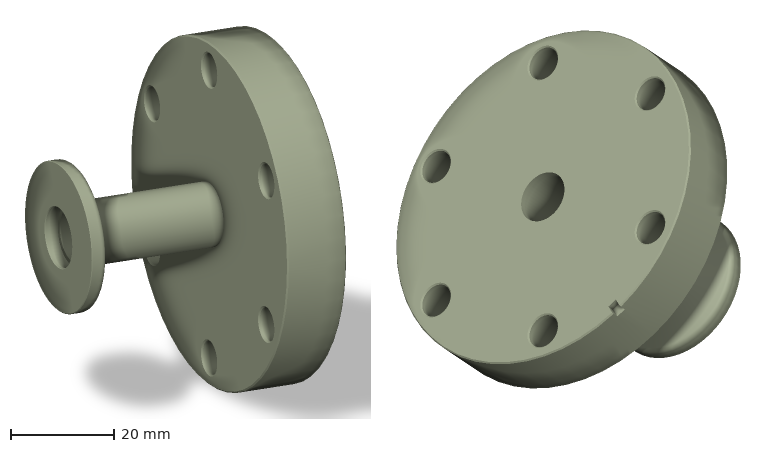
import cadquery as cq
import math

flange_diameter = 70.0
flange_thickness = 12.7
flange_edge_chamfer = 0.3
bolt_count = 6
bolt_circle_radius = 29.4
bolt_hole_diameter = 6.7
bolt_hole_chamfer = 0.3

groove_angle = 240.0
groove_width = 2.0
groove_depth = 1.55
groove_length = 2.1

total_length = 45.0
tube_diameter = 12.9
bore_diameter = 10.3
counterbore_diameter = 12.1
counterbore_depth = 2.8
counterbore_chamfer = 0.15
rim_diameter = 30.0
rim_edge_radius = 1.05
rim_front_chamfer = 0.15
rim_height = 5.25
cone_angle = 15.0

tube_radius = tube_diameter / 2
rim_radius = rim_diameter / 2
rim_front = flange_thickness - total_length
rim_back = rim_front + rim_height
cone_run = (rim_radius - tube_radius) * math.tan(math.radians(cone_angle))


def cylinder_along_y(diameter, y_start, y_end):
    """Cylinder centred on the Y axis between two Y positions."""
    circle = cq.Workplane("XZ", origin=(0, y_start, 0)).circle(diameter / 2)
    return circle.extrude(y_start - y_end)


def make_bolt_hole():
    """Cutter for one bolt hole on the Y axis, countersunk at both flange faces."""
    hole_radius = bolt_hole_diameter / 2
    mouth_radius = hole_radius + bolt_hole_chamfer
    profile = [
        (0, 0),
        (mouth_radius, 0),
        (hole_radius, bolt_hole_chamfer),
        (hole_radius, flange_thickness - bolt_hole_chamfer),
        (mouth_radius, flange_thickness),
        (0, flange_thickness),
    ]
    return cq.Workplane("XY").polyline(profile).close().revolve(360, (0, 0), (0, 1))


def make_rim_groove():
    """Cutter for the radial groove, open at the rim and at the back face."""
    flange_radius = flange_diameter / 2
    groove = cq.Workplane("XY").box(groove_length, groove_depth, groove_width, centered=(False, False, True))
    groove = groove.translate((flange_radius - groove_length, flange_thickness - groove_depth, 0))
    return groove.rotate((0, 0, 0), (0, 1, 0), -groove_angle)


def make_flange():
    flange = cylinder_along_y(flange_diameter, 0, flange_thickness)
    flange = flange.faces("<Y or >Y").chamfer(flange_edge_chamfer)
    flange = flange.cut(cylinder_along_y(tube_diameter, 0, flange_thickness))
    bolt_hole = make_bolt_hole().translate((0, 0, bolt_circle_radius))
    for index in range(bolt_count):
        angle = index * 360 / bolt_count
        flange = flange.cut(bolt_hole.rotate((0, 0, 0), (0, 1, 0), angle))
    return flange.cut(make_rim_groove())


def make_ferrule():
    cone_base = rim_back - cone_run
    slope = math.radians(cone_angle)
    tangent_length = rim_edge_radius * math.tan((math.pi / 2 - slope) / 2)
    arc_start = (rim_radius, cone_base - tangent_length)
    arc_end = (
        rim_radius - tangent_length * math.cos(slope),
        cone_base + tangent_length * math.sin(slope),
    )
    arc_centre = (rim_radius - rim_edge_radius, arc_start[1])
    middle_angle = (math.pi / 2 - slope) / 2
    arc_middle = (
        arc_centre[0] + rim_edge_radius * math.cos(middle_angle),
        arc_centre[1] + rim_edge_radius * math.sin(middle_angle),
    )
    outline = (
        cq.Workplane("XY")
        .moveTo(0, rim_front)
        .lineTo(rim_radius - rim_front_chamfer, rim_front)
        .lineTo(rim_radius, rim_front + rim_front_chamfer)
        .lineTo(*arc_start)
        .threePointArc(arc_middle, arc_end)
        .lineTo(tube_radius, rim_back)
        .lineTo(tube_radius, flange_thickness)
        .lineTo(0, flange_thickness)
        .close()
    )
    ferrule = outline.revolve(360, (0, 0), (0, 1))
    ferrule = ferrule.cut(cylinder_along_y(bore_diameter, rim_front, flange_thickness))
    ferrule = ferrule.cut(cylinder_along_y(counterbore_diameter, rim_front, rim_front + counterbore_depth))
    mouth_edge = cq.selectors.RadiusNthSelector(0)
    return ferrule.faces("<Y").edges(mouth_edge).chamfer(counterbore_chamfer)


flange = make_flange()
ferrule = make_ferrule()

result = cq.Compound.makeCompound([flange.val(), ferrule.val()])